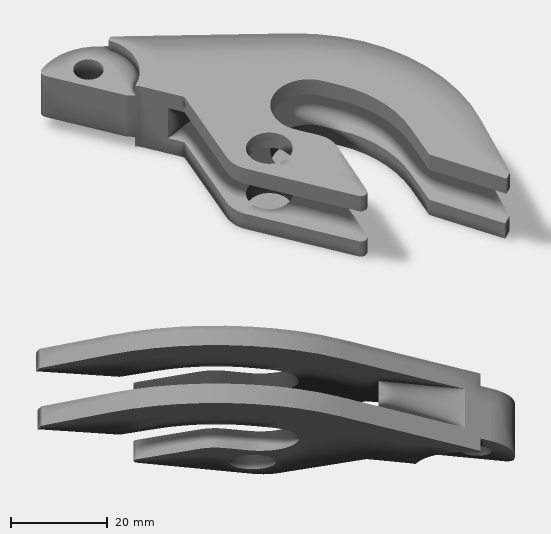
import cadquery as cq
import math

total_height = 16.8
tongue_height = 11.4
slot_height = 8.3

hook_x, hook_y = 60.6, 4.7
outer_radius = 40.7
inner_radius = 26.3
back_angle = math.radians(21.4)
nose_angle = math.radians(50)
diagonal = math.radians(45)
length = 103.0
nose_top_y = 17.6
nose_bottom_y = 15.5
nose_inner_x = 85.4
lower_nose_inset = 0.3

throat_x = 56.9
throat_radius = 8.0
throat_y = hook_y + inner_radius - throat_radius
jaw_top_y = throat_y - throat_radius
jaw_shoulder_x = 61.8
jaw_shoulder_radius = 7.0
jaw_tip_x = 79.2
jaw_tip_radius = 1.3
jaw_heel_x = 48.3
jaw_heel_radius = 7.2
belly_y = 16.6
pin_x, pin_y = 53.7, 7.6
pin_diameter = 9.7

tongue_radius = 13.4
tongue_x = 13.3
tongue_bottom_y = 15.8
tongue_corner_radius = 1.4
tongue_ramp_x = 19.3
belly_start_x = 21.9
pivot_x, pivot_y = 9.2, 20.6
pivot_diameter = 6.3
shoulder_x, shoulder_y = 10.3, 17.1
shoulder_radius = 10.7
shoulder_edge_x = 10.9

web_bottom_x = 28.1
web_right_x = 33.5
web_top_y = 30.5

margin = 10.3


def on_circle(x, y, radius, angle):
    """Point on a circle, with the angle measured clockwise from +Y."""
    return (x + radius * math.sin(angle), y + radius * math.cos(angle))


def hook_point(radius, angle):
    return on_circle(hook_x, hook_y, radius, angle)


def centred_prism(sketch, height):
    return sketch.extrude(height / 2, both=True)


def make_body():
    back_offset = hook_y * math.cos(back_angle) - hook_x * math.sin(back_angle) + outer_radius
    tongue_y = (back_offset - tongue_radius + tongue_x * math.sin(back_angle)) / math.cos(back_angle)
    start_angle = -math.acos((tongue_bottom_y - tongue_y) / tongue_radius)
    middle_angle = (start_angle - back_angle) / 2
    tongue_corner = on_circle(tongue_x, tongue_y, tongue_radius, start_angle)
    jaw_shoulder_y = jaw_top_y - jaw_shoulder_radius
    outline = (
        cq.Workplane("XY")
        .moveTo(*tongue_corner)
        .threePointArc(
            on_circle(tongue_x, tongue_y, tongue_radius, middle_angle),
            on_circle(tongue_x, tongue_y, tongue_radius, -back_angle),
        )
        .lineTo(*hook_point(outer_radius, -back_angle))
        .threePointArc(hook_point(outer_radius, 0), hook_point(outer_radius, nose_angle))
        .lineTo(length, nose_top_y)
        .lineTo(length, nose_bottom_y)
        .lineTo(nose_inner_x, math.sqrt(2) * inner_radius + hook_x + hook_y - nose_inner_x)
        .lineTo(*hook_point(inner_radius, diagonal))
        .threePointArc(hook_point(inner_radius, diagonal / 2), hook_point(inner_radius, 0))
        .lineTo(throat_x, throat_y + throat_radius)
        .threePointArc((throat_x - throat_radius, throat_y), (throat_x, jaw_top_y))
        .lineTo(jaw_shoulder_x, jaw_top_y)
        .threePointArc(
            on_circle(jaw_shoulder_x, jaw_shoulder_y, jaw_shoulder_radius, diagonal / 2),
            on_circle(jaw_shoulder_x, jaw_shoulder_y, jaw_shoulder_radius, diagonal),
        )
        .lineTo(jaw_tip_x, 0)
        .lineTo(jaw_heel_x, 0)
        .lineTo(jaw_heel_x - belly_y, belly_y)
        .lineTo(belly_start_x, belly_y)
        .lineTo(tongue_ramp_x, tongue_bottom_y)
        .close()
    )
    body = centred_prism(outline, total_height)
    for corner, radius in (
        ((*tongue_corner, 0), tongue_corner_radius),
        ((jaw_tip_x, 0, 0), jaw_tip_radius),
        ((jaw_heel_x, 0, 0), jaw_heel_radius),
    ):
        body = body.edges(cq.selectors.NearestToPointSelector(corner)).fillet(radius)
    return body


def make_shoulder_cut():
    """Region above and below the tongue, ending at the curved shoulder."""
    edge_angle = math.asin((shoulder_edge_x - shoulder_x) / shoulder_radius)
    arc_start = on_circle(shoulder_x, shoulder_y, shoulder_radius, edge_angle)
    arc_middle = on_circle(shoulder_x, shoulder_y, shoulder_radius, (edge_angle + math.pi / 2) / 2)
    region = (
        cq.Workplane("XY")
        .moveTo(-margin, 0)
        .lineTo(-margin, shoulder_y + shoulder_radius + margin)
        .lineTo(shoulder_edge_x, shoulder_y + shoulder_radius + margin)
        .lineTo(*arc_start)
        .threePointArc(arc_middle, (shoulder_x + shoulder_radius, shoulder_y))
        .lineTo(shoulder_x + shoulder_radius, 0)
        .close()
    )
    tongue_space = cq.Workplane("XY").box(length, length, tongue_height)
    return centred_prism(region, total_height).cut(tongue_space)


def make_slot():
    """Gap between the plates, leaving the web at the tongue end."""
    region = cq.Workplane("XY").polyline([
        (web_bottom_x, belly_y),
        (web_right_x, web_top_y),
        (0, web_top_y),
        (0, length),
        (length + margin, length),
        (length + margin, -margin),
        (web_bottom_x, -margin),
    ]).close()
    return centred_prism(region, slot_height)


def make_hole(x, y, diameter):
    return centred_prism(cq.Workplane("XY").center(x, y).circle(diameter / 2), total_height)


def make_lower_nose_cut():
    return cq.Workplane("XY").box(
        margin, length, total_height, centered=(False, True, False)
    ).translate((length - lower_nose_inset, 0, -total_height))


result = (
    make_body()
    .cut(make_shoulder_cut())
    .cut(make_slot())
    .cut(make_hole(pivot_x, pivot_y, pivot_diameter))
    .cut(make_hole(pin_x, pin_y, pin_diameter))
    .cut(make_lower_nose_cut())
)